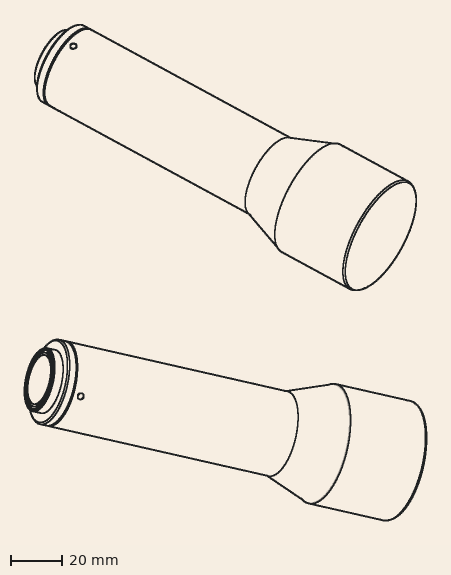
import cadquery as cq

total_length = 158.9
half_length = total_length / 2

button_length = 4.0
button_radius = 12.7
button_edge_chamfer = 0.3
button_groove_outer_radius = 11.8
button_groove_inner_radius = 10.8
button_groove_depth = 0.5
button_recess_radius = 9.9
button_recess_depth = 0.2

barrel_radius = 17.0
cap_length = 3.7
cap_edge_chamfer = 0.6
cap_groove_width = 0.5
cap_groove_depth = 0.3
cone_start = 105.5
cone_length = 19.0

head_radius = 24.0
head_edge_length = 0.5
head_edge_drop = 0.3
lens_edge_length = 0.8
lens_edge_drop = 0.5

pin_hole_diameter = 2.5
pin_hole_depth = 0.5
pin_hole_distance = 11.5
pin_hole_count = 3
first_pin_hole_angle = 8.0

cap_end = button_length + cap_length
barrel_start = cap_end + cap_groove_width
cone_end = cone_start + cone_length


def make_body():
    """Turned body: button, tail cap, groove, barrel, cone and head."""
    return (
        cq.Workplane("XY")
        .moveTo(0, 0)
        .lineTo(0, button_radius - button_edge_chamfer)
        .lineTo(button_edge_chamfer, button_radius)
        .lineTo(button_length, button_radius)
        .lineTo(button_length, barrel_radius - cap_edge_chamfer)
        .lineTo(button_length + cap_edge_chamfer, barrel_radius)
        .lineTo(cap_end, barrel_radius)
        .lineTo(cap_end, barrel_radius - cap_groove_depth)
        .lineTo(barrel_start, barrel_radius - cap_groove_depth)
        .lineTo(barrel_start, barrel_radius)
        .lineTo(cone_start, barrel_radius)
        .lineTo(cone_end, head_radius - head_edge_drop)
        .lineTo(cone_end + head_edge_length, head_radius)
        .lineTo(total_length - lens_edge_length, head_radius)
        .lineTo(total_length, head_radius - lens_edge_drop)
        .lineTo(total_length, 0)
        .close()
        .revolve(360, (0, 0, 0), (1, 0, 0))
    )


def make_button_cuts():
    """Ring groove and shallow central recess in the button face."""
    groove = (
        cq.Workplane("YZ")
        .circle(button_groove_outer_radius)
        .circle(button_groove_inner_radius)
        .extrude(button_groove_depth)
    )
    recess = cq.Workplane("YZ").circle(button_recess_radius).extrude(button_recess_depth)
    return groove.union(recess)


def make_pin_hole(angle):
    """Blind radial hole in the barrel, turned about X by angle from +Z."""
    hole_bottom = barrel_radius - pin_hole_depth
    return (
        cq.Workplane("XY", origin=(pin_hole_distance, 0, hole_bottom))
        .circle(pin_hole_diameter / 2)
        .extrude(2 * pin_hole_depth)
        .rotate((0, 0, 0), (1, 0, 0), angle)
    )


torch = make_body().cut(make_button_cuts())
for index in range(pin_hole_count):
    torch = torch.cut(make_pin_hole(first_pin_hole_angle + index * 360 / pin_hole_count))

result = torch.translate((-half_length, 0, 0))